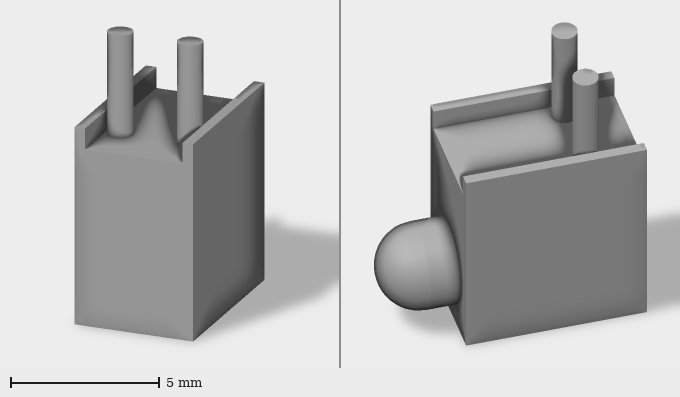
import cadquery as cq

housing_width = 4.32
housing_length = 6.35
housing_height = 7.11

rail_thickness = 0.38
channel_depth = 0.76
channel_floor = housing_height - channel_depth
channel_width = housing_width - 2 * rail_thickness

overall_length = 8.89
led_diameter = 3.05
led_radius = led_diameter / 2
led_center_height = 2.03
led_length = overall_length - housing_length
nose_radius = 1.49

overall_height = 10.03
lead_diameter = 0.89
lead_spacing = 2.54
lead_setback = 1.905
lead_length = overall_height - channel_floor


def make_housing():
    """Block centred on X, with its -Y face at Y = 0 and its base at Z = 0."""
    block = cq.Workplane("XY").box(
        housing_width, housing_length, housing_height, centered=(True, False, False)
    )
    channel = (
        cq.Workplane("XY", origin=(0, 0, channel_floor))
        .box(channel_width, housing_length, channel_depth, centered=(True, False, False))
    )
    return block.cut(channel)


def make_led():
    """Cylinder along Y whose free end is rounded almost to a hemisphere."""
    return (
        cq.Workplane("XZ", origin=(0, housing_length, led_center_height))
        .circle(led_radius)
        .extrude(-led_length)
        .faces(">Y")
        .edges()
        .fillet(nose_radius)
    )


def make_leads():
    return (
        cq.Workplane("XY", origin=(0, lead_setback, channel_floor))
        .pushPoints([(-lead_spacing / 2, 0), (lead_spacing / 2, 0)])
        .circle(lead_diameter / 2)
        .extrude(lead_length)
    )


result = make_housing().union(make_led()).union(make_leads())